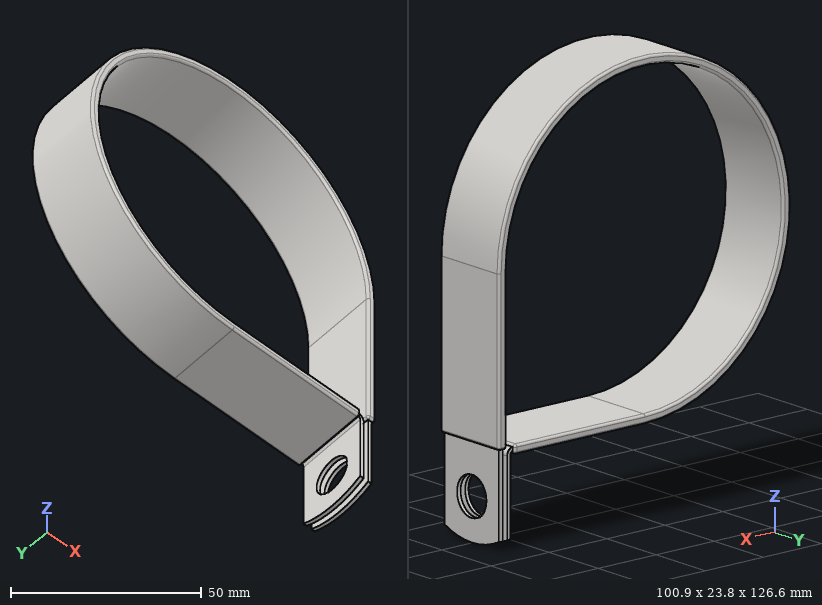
import cadquery as cq
import math

loop_inner_radius = 47.625
cushion_wall = 0.794
strap_thickness = 1.219
strap_width = 22.225
cushion_edge_radius = 0.762
cushion_bottom_end_x = 44.95
strap_bottom_z = -76.2
tab_gap = 1.588
tab_bend_inner_radius = 0.9
tab_tip_radius = 25.4
hole_diameter = 11.9
hole_z = -63.5

cushion_width = strap_width + 2 * cushion_wall
strap_inner_radius = loop_inner_radius + cushion_wall
strap_outer_radius = strap_inner_radius + strap_thickness
loop_outer_radius = strap_outer_radius + cushion_wall
cushion_right_end_z = -strap_inner_radius
inner_tab_x = strap_inner_radius - tab_gap
tab_bend_outer_radius = tab_bend_inner_radius + strap_thickness


def loop_band(inner_radius, outer_radius, right_end_z, bottom_end_x, width):
    """Three-quarter ring with a straight leg down its right side and one along its bottom."""
    diagonal = math.sqrt(0.5)
    return (
        cq.Workplane("XZ")
        .moveTo(outer_radius, right_end_z)
        .lineTo(outer_radius, 0)
        .threePointArc((-outer_radius * diagonal, outer_radius * diagonal), (0, -outer_radius))
        .lineTo(bottom_end_x, -outer_radius)
        .lineTo(bottom_end_x, -inner_radius)
        .lineTo(0, -inner_radius)
        .threePointArc((-inner_radius * diagonal, inner_radius * diagonal), (inner_radius, 0))
        .lineTo(inner_radius, right_end_z)
        .close()
        .extrude(width / 2, both=True)
    )


def make_cushion():
    """Cushion sleeve around the loop, with its sides and both ends rounded."""
    band = loop_band(
        loop_inner_radius, loop_outer_radius, cushion_right_end_z, cushion_bottom_end_x, cushion_width
    )
    middle_radius = (loop_inner_radius + loop_outer_radius) / 2
    right_end = cq.NearestToPointSelector((middle_radius, 0, cushion_right_end_z))
    bottom_end = cq.NearestToPointSelector((cushion_bottom_end_x, 0, -middle_radius))
    rounded_edges = band.faces("|Y").edges()
    rounded_edges = rounded_edges.add(band.faces(right_end).edges())
    rounded_edges = rounded_edges.add(band.faces(bottom_end).edges())
    return rounded_edges.fillet(cushion_edge_radius)


def make_strap():
    """Metal strap through the cushion, ending in two parallel tabs with a common bolt hole."""
    strap = loop_band(strap_inner_radius, strap_outer_radius, strap_bottom_z, inner_tab_x, strap_width)
    bent_tab_height = -strap_inner_radius - strap_bottom_z
    bent_tab = (
        cq.Workplane("XY")
        .box(strap_thickness, strap_width, bent_tab_height, centered=(False, True, False))
        .translate((inner_tab_x - strap_thickness, 0, strap_bottom_z))
    )
    strap = strap.union(bent_tab)
    bend_outside = cq.NearestToPointSelector((inner_tab_x, 0, -strap_inner_radius))
    bend_inside = cq.NearestToPointSelector((inner_tab_x - strap_thickness, 0, -strap_outer_radius))
    strap = strap.edges(bend_outside).fillet(tab_bend_outer_radius)
    strap = strap.edges(bend_inside).fillet(tab_bend_inner_radius)
    return strap.intersect(tip_envelope()).cut(bolt_hole())


def tip_envelope():
    """Prism along X, wide enough for the strap, whose lower end rounds the tips of both tabs."""
    half_width = strap_width / 2
    tip_center_z = strap_bottom_z + tab_tip_radius
    corner_z = tip_center_z - math.sqrt(tab_tip_radius**2 - half_width**2)
    return (
        cq.Workplane("YZ")
        .moveTo(-half_width, loop_outer_radius)
        .lineTo(-half_width, corner_z)
        .threePointArc((0, strap_bottom_z), (half_width, corner_z))
        .lineTo(half_width, loop_outer_radius)
        .close()
        .extrude(loop_outer_radius, both=True)
    )


def bolt_hole():
    """Cylinder along X through both tabs."""
    return (
        cq.Workplane("YZ")
        .center(0, hole_z)
        .circle(hole_diameter / 2)
        .extrude(loop_outer_radius)
    )


result = make_cushion().union(make_strap())